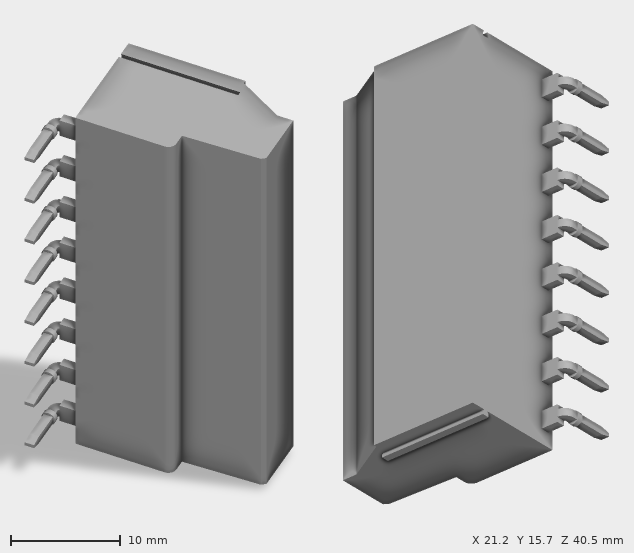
import cadquery as cq


pole_count = 8
overall_length = 40.55
housing_length = 40.0
housing_width = 18.05
housing_depth = 11.2
pole_pitch = housing_length / pole_count

foot_width = 9.8
foot_radius = 0.8
nose_underside_inner = 2.0
nose_underside_outer = 2.27
nose_chamfer_x = 0.4
nose_chamfer_y = 0.32
nose_top = 8.25
nose_flat = 1.62
back_width = 11.8
back_step = 0.32

rail_length = 12.05
rail_y = 9.37
rail_neck_width = 0.45
rail_head_width = 0.8
rail_height = overall_length - housing_length
rail_head_height = 0.3

pin_thickness = 0.95
pin_width = 0.8
pin_x = -2.47
pin_tip_y = -4.5
tip_length = 1.05
tip_width = 0.35
bend_inner_radius = 0.12
bend_outer_radius = bend_inner_radius + pin_thickness
tab_width = 1.85
tab_top = 1.55
tab_bottom = tab_top - pin_thickness
collar_diameter = 1.38
collar_height = 0.53


def make_housing():
    side_and_back_points = [
        (foot_width, nose_underside_inner),
        (housing_width - nose_chamfer_x, nose_underside_outer),
        (housing_width, nose_underside_outer + nose_chamfer_y),
        (housing_width, nose_top),
        (housing_width - nose_flat, nose_top),
        (back_width, housing_depth - back_step),
        (back_width, housing_depth),
        (0, housing_depth),
    ]
    return (
        cq.Workplane("XY")
        .lineTo(foot_width - foot_radius, 0)
        .tangentArcPoint((foot_width, foot_radius), relative=False)
        .polyline(side_and_back_points, includeCurrent=True)
        .close()
        .extrude(housing_length)
    )


def make_rail(base_z):
    """Undercut rail hanging down from base_z, starting at the pin-side face."""
    half_neck = rail_neck_width / 2
    half_head = rail_head_width / 2
    head_z = base_z - rail_height + rail_head_height
    end_z = base_z - rail_height
    profile = [
        (rail_y - half_neck, base_z),
        (rail_y - half_head, head_z),
        (rail_y - half_head, end_z),
        (rail_y + half_head, end_z),
        (rail_y + half_head, head_z),
        (rail_y + half_neck, base_z),
    ]
    return cq.Workplane("YZ").polyline(profile).close().extrude(rail_length)


def make_pin():
    """One pin with its bend in the XY plane and its middle at Z = 0."""
    leg_left = pin_x - pin_thickness / 2
    leg_right = pin_x + pin_thickness / 2
    bend_x = leg_right + bend_inner_radius
    bend_y = tab_bottom - bend_inner_radius

    bent_strip = (
        cq.Workplane("XY")
        .moveTo(bend_x, tab_top)
        .radiusArc((leg_left, bend_y), -bend_outer_radius)
        .lineTo(leg_left, pin_tip_y)
        .lineTo(leg_right, pin_tip_y)
        .lineTo(leg_right, bend_y)
        .radiusArc((bend_x, tab_bottom), bend_inner_radius)
        .close()
        .extrude(pin_width / 2, both=True)
    )

    taper_start_y = pin_tip_y + tip_length
    side_profile = [
        (tab_top, -pin_width / 2),
        (taper_start_y, -pin_width / 2),
        (pin_tip_y, -tip_width / 2),
        (pin_tip_y, tip_width / 2),
        (taper_start_y, pin_width / 2),
        (tab_top, pin_width / 2),
    ]
    side_envelope = (
        cq.Workplane("YZ", origin=(leg_left, 0, 0))
        .polyline(side_profile)
        .close()
        .extrude(bend_x - leg_left)
    )

    tab = (
        cq.Workplane("XY")
        .box(-bend_x, pin_thickness, tab_width, centered=(False, False, True))
        .translate((bend_x, tab_bottom, 0))
    )

    collar = (
        cq.Workplane("XZ", origin=(pin_x, 0, 0))
        .circle(collar_diameter / 2)
        .extrude(collar_height)
    )
    return bent_strip.intersect(side_envelope).union(tab).union(collar)


result = make_housing().union(make_rail(0)).cut(make_rail(housing_length))

pin = make_pin()
for pole in range(pole_count):
    result = result.union(pin.translate((0, 0, (pole + 0.5) * pole_pitch)))